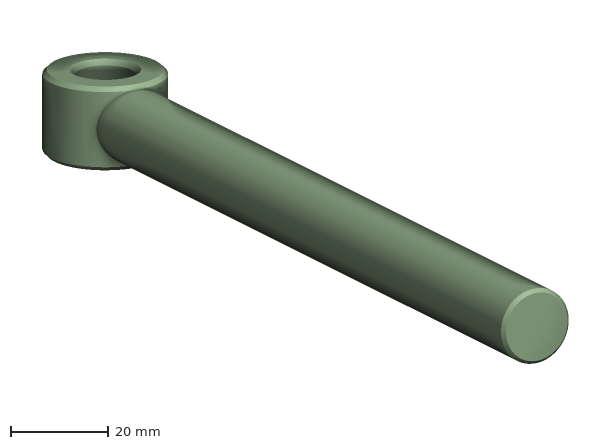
import cadquery as cq

overall_length = 187.5
eye_diameter = 25.9
eye_height = 18.0
bore_diameter = 12.5
eye_chamfer = 1.0
bore_chamfer = 1.1

rod_diameter = 16.1
rod_end_chamfer = 0.8
rod_end_x = overall_length - eye_diameter / 2


def make_eye():
    """Solid eye cylinder with chamfered rims, centred on the origin."""
    disc = cq.Workplane("XY").cylinder(eye_height, eye_diameter / 2)
    return disc.edges("%CIRCLE").chamfer(eye_chamfer)


def make_rod():
    """Round rod from the eye axis to the chamfered free end."""
    rod = cq.Workplane("YZ").circle(rod_diameter / 2).extrude(rod_end_x)
    return rod.faces(">X").edges().chamfer(rod_end_chamfer)


def make_bore():
    """Through bore widened by a countersink at both ends."""
    bore = cq.Workplane("XY").cylinder(eye_height, bore_diameter / 2)
    mouth_radius = bore_diameter / 2 + bore_chamfer
    mouth_profile = [
        (0, eye_height / 2),
        (mouth_radius, eye_height / 2),
        (bore_diameter / 2, eye_height / 2 - bore_chamfer),
        (0, eye_height / 2 - bore_chamfer),
    ]
    mouth = cq.Workplane("XZ").polyline(mouth_profile).close().revolve(360, (0, 0, 0), (0, 1, 0))
    return bore.union(mouth).union(mouth.mirror("XY"))


result = make_eye().union(make_rod()).cut(make_bore())